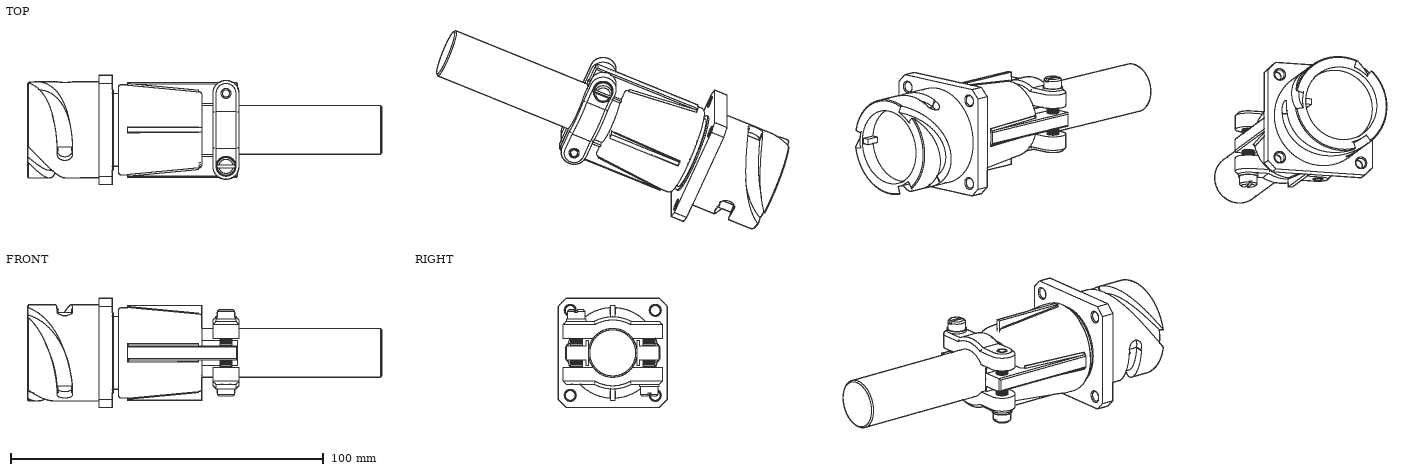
import cadquery as cq
import math


total_length = 113.3
cable_radius = 7.8
cable_end_chamfer = 0.5

shell_radius = 15.4
shell_edge_chamfer = 0.3
socket_radius = 11.9
socket_depth = 4.9
key_width = 1.8
key_height = 2.0
key_setback = 0.6
key_root = 0.6

groove_count = 3
groove_width = 5.0
groove_floor_radius = 12.9
groove_reach = 11.9
groove_sweep = 120.0
groove_exponent = 2.3
groove_steps = 24
groove_lead_in = 3
groove_clearance = 1.1
groove_end_angle = 90 + groove_sweep / 2

flange_start = 22.8
flange_end = 27.1
flange_side = 35.0
flange_corner_chamfer = 2.6
flange_hole_offset = 13.6
flange_hole_radius = 1.6
flange_hole_chamfer = 0.3

collar_end = 27.5
collar_radius = 12.8
thread_relief_radius = 11.7

backshell_start = 29.0
backshell_radius = 14.5
cone_start = 32.6
backshell_end = 55.7
cone_end_radius = 12.4
backshell_fillet = 1.0

rib_start = 32.0
rib_height = 15.2
rib_width = 1.4
rib_root_width = 2.3
arm_end = 67.2
arm_width = 4.5
arm_root_width = 5.9
arm_edge_chamfer = 0.5
root_rise = 0.3
root_burial = 0.2
rail_inner = 7.8
rail_overlap = 1.1
rail_outer = 8.5
rail_width = 7.9

clamp_center = 63.5
clamp_width = 8.4
clamp_half_length = 15.9
clamp_gap = 9.3
ear_top = 10.1
arch_top = 11.6
arch_half_span = 5.9
clamp_chamfer = 1.0

screw_radius = 1.9
screw_thread_depth = 0.2
screw_thread_pitch = 0.7
screw_thread_count = 4
screw_head_radius = 2.8
screw_head_top = 13.8
screw_head_chamfer = 0.6
washer_radius = 3.2
washer_top = 10.8
screw_slot_width = 0.9
screw_slot_depth = 0.9
screw_tip_radius = 1.1
screw_hole_radius = 1.6
screw_tip_recess = 0.9
screw_offset = clamp_half_length - clamp_width / 2


def disc(start, end, radius):
    """Cylinder on the X axis between two X positions."""
    return cq.Workplane("YZ").workplane(offset=start).circle(radius).extrude(end - start)


def block(x_range, y_range, z_range):
    """Axis-aligned box given by its limits."""
    size = [high - low for low, high in (x_range, y_range, z_range)]
    corner = (x_range[0], y_range[0], z_range[0])
    return cq.Workplane("XY").box(*size, centered=False).translate(corner)


def turn_about_x(solid, angle):
    return solid.rotate((0, 0, 0), (1, 0, 0), angle)


def groove_axial(angle):
    """Axial position of the groove centre line at an angle measured from its blind end."""
    return groove_reach * (1 - (angle / groove_sweep) ** groove_exponent)


def groove_step(near, far):
    """Cutter for one step of a groove between two angles, with a flat floor and radial end faces."""
    half_width = groove_width / 2
    half_step = math.radians(far - near) / 2

    def outline(radius):
        half_run = radius * math.tan(half_step)
        return [
            (groove_axial(near) - half_width, -half_run),
            (groove_axial(near) + half_width, -half_run),
            (groove_axial(far) + half_width, half_run),
            (groove_axial(far) - half_width, half_run),
        ]

    cutter_top = shell_radius + groove_clearance
    floor = cq.Workplane("XY", origin=(0, 0, groove_floor_radius))
    floor = floor.polyline(outline(groove_floor_radius)).close()
    top = floor.workplane(offset=cutter_top - groove_floor_radius).polyline(outline(cutter_top)).close()
    return turn_about_x(top.loft(ruled=True), groove_end_angle - (near + far) / 2)


def groove_cutter():
    """Whole spiral groove centred on the -Y side, with its round blind end below."""
    cutter = cq.Workplane("XY", origin=(groove_reach, 0, groove_floor_radius)).circle(groove_width / 2)
    cutter = cutter.extrude(shell_radius + groove_clearance - groove_floor_radius)
    cutter = turn_about_x(cutter, groove_end_angle)
    step = groove_sweep / groove_steps
    for index in range(groove_steps + groove_lead_in):
        cutter = cutter.union(groove_step(index * step, (index + 1) * step))
    return cutter


def front_shell():
    shell = disc(0, flange_start, shell_radius).faces("<X").edges().chamfer(shell_edge_chamfer)
    shell = shell.cut(disc(0, socket_depth, socket_radius))
    cutter = groove_cutter()
    for index in range(groove_count):
        shell = shell.cut(turn_about_x(cutter, index * 360 / groove_count))
    key = block(
        (key_setback, socket_depth),
        (socket_radius - key_height, socket_radius + key_root),
        (-key_width / 2, key_width / 2),
    )
    return shell.union(key)


def flange():
    plate = cq.Workplane("YZ").workplane(offset=flange_start).rect(flange_side, flange_side)
    plate = plate.extrude(flange_end - flange_start).edges("|X").chamfer(flange_corner_chamfer)
    spacing = 2 * flange_hole_offset
    plate = plate.faces("<X").workplane().rect(spacing, spacing, forConstruction=True)
    plate = plate.vertices().hole(2 * flange_hole_radius)
    return plate.faces("<X or >X").edges("%CIRCLE").chamfer(flange_hole_chamfer)


def backshell_body():
    profile = [
        (backshell_start, 0),
        (backshell_start, backshell_radius),
        (cone_start, backshell_radius),
        (backshell_end, cone_end_radius),
        (backshell_end, 0),
    ]
    body = cq.Workplane("XY").polyline(profile).close().revolve(360, (0, 0, 0), (1, 0, 0))
    return body.faces("<X or >X").edges().fillet(backshell_fillet)


def fin_root_section(radius, root_width, top_width):
    """Trapezoid standing on a surface of the given radius, buried slightly so that it joins."""
    bottom = radius - root_burial
    top = radius + root_rise
    return [
        (bottom, -root_width / 2),
        (top, -top_width / 2),
        (top, top_width / 2),
        (bottom, root_width / 2),
    ]


def fin_root(root_width, top_width):
    """Sloped root on the +Y side that blends a fin into the cone and follows its slope."""
    root = cq.Workplane("YZ", origin=(rib_start, 0, 0))
    root = root.polyline(fin_root_section(backshell_radius, root_width, top_width)).close()
    root = root.workplane(offset=backshell_end - backshell_fillet - rib_start)
    root = root.polyline(fin_root_section(cone_end_radius, root_width, top_width)).close()
    return root.loft(ruled=True, combine=True)


def fin_pair(end, width, root_width, edge_chamfer=0.0):
    """Flat fins on the +Y and -Y sides of the backshell, with sloped roots."""
    fins = block((rib_start, end), (-rib_height, rib_height), (-width / 2, width / 2))
    if edge_chamfer > 0:
        fins = fins.faces("<Y or >Y").edges("not <X").chamfer(edge_chamfer)
    root = fin_root(root_width, width)
    return fins.union(root).union(turn_about_x(root, 180))


def rib_pair():
    """Ribs above and below the backshell."""
    return turn_about_x(fin_pair(backshell_end, rib_width, rib_root_width), 90)


def arm_pair():
    """Side arms that reach past the backshell, with a raised rail on each inner edge."""
    half_width = arm_width / 2
    arms = fin_pair(arm_end, arm_width, arm_root_width, arm_edge_chamfer)
    arms = arms.cut(block((backshell_end, arm_end), (-rail_inner, rail_inner), (-half_width, half_width)))
    for low, high in ((-rail_outer, -rail_inner), (rail_inner, rail_outer)):
        rail = block((backshell_end - rail_overlap, arm_end), (low, high), (-rail_width / 2, rail_width / 2))
        arms = arms.union(rail)
    return arms


def clamp_bar():
    """Upper clamp bar: rounded ears either side of an arch over the cable."""
    bottom = clamp_gap / 2
    profile = (
        cq.Workplane("YZ", origin=(clamp_center - clamp_width / 2, 0, 0))
        .moveTo(-clamp_half_length, bottom)
        .lineTo(clamp_half_length, bottom)
        .lineTo(clamp_half_length, ear_top)
        .lineTo(arch_half_span, ear_top)
        .threePointArc((0, arch_top), (-arch_half_span, ear_top))
        .lineTo(-clamp_half_length, ear_top)
        .close()
        .extrude(clamp_width)
    )
    outline = cq.Workplane("XY", origin=(clamp_center, 0, 0))
    outline = outline.slot2D(2 * clamp_half_length, clamp_width, 90).extrude(arch_top)
    bar = profile.intersect(outline)
    shoulder = ear_top - clamp_chamfer
    upper_edges = cq.selectors.BoxSelector(
        (clamp_center - clamp_width, -2 * clamp_half_length, shoulder),
        (clamp_center + clamp_width, 2 * clamp_half_length, arch_top + clamp_chamfer),
    )
    return bar.edges(upper_edges).edges("not |X").chamfer(clamp_chamfer)


def screw():
    """Slotted screw on the -Y side, head up, with a washer and thread rings between bars and arm."""
    axis = cq.Workplane("XY", origin=(clamp_center, -screw_offset, 0))
    body = axis.workplane(offset=-ear_top).circle(screw_radius).extrude(2 * ear_top)
    for index in range(screw_thread_count):
        for side in (-1, 1):
            height = side * (clamp_gap / 2 - (index + 0.5) * screw_thread_pitch)
            groove = axis.workplane(offset=height - screw_thread_pitch / 4)
            groove = groove.circle(screw_radius).circle(screw_radius - screw_thread_depth)
            body = body.cut(groove.extrude(screw_thread_pitch / 2))
    body = body.union(axis.workplane(offset=ear_top).circle(washer_radius).extrude(washer_top - ear_top))
    head = axis.workplane(offset=ear_top).circle(screw_head_radius).extrude(screw_head_top - ear_top)
    head = head.faces(">Z").edges().chamfer(screw_head_chamfer)
    slot = axis.workplane(offset=screw_head_top - screw_slot_depth)
    slot = slot.rect(2 * screw_head_radius, screw_slot_width).extrude(screw_slot_depth)
    return body.union(head.cut(slot))


def screw_tip_ring():
    """Ring-shaped recess around the tip of the screw in the lower ear."""
    ring = cq.Workplane("XY", origin=(clamp_center, -screw_offset, -ear_top))
    return ring.circle(screw_hole_radius).circle(screw_tip_radius).extrude(screw_tip_recess)


def clamp():
    """The half with one bar and one screw, repeated by a half turn about the cable."""
    half = clamp_bar()
    assembly = half.union(turn_about_x(half, 180))
    for angle in (0, 180):
        assembly = assembly.union(turn_about_x(screw(), angle))
    for angle in (0, 180):
        assembly = assembly.cut(turn_about_x(screw_tip_ring(), angle))
    return assembly


cable = disc(backshell_end, total_length, cable_radius).faces(">X").edges().chamfer(cable_end_chamfer)

result = front_shell().union(flange())
result = result.union(disc(flange_end, collar_end, collar_radius))
result = result.union(disc(collar_end, backshell_start, thread_relief_radius))
result = result.union(backshell_body())
result = result.union(rib_pair())
result = result.union(arm_pair())
result = result.union(cable)
result = result.union(clamp())